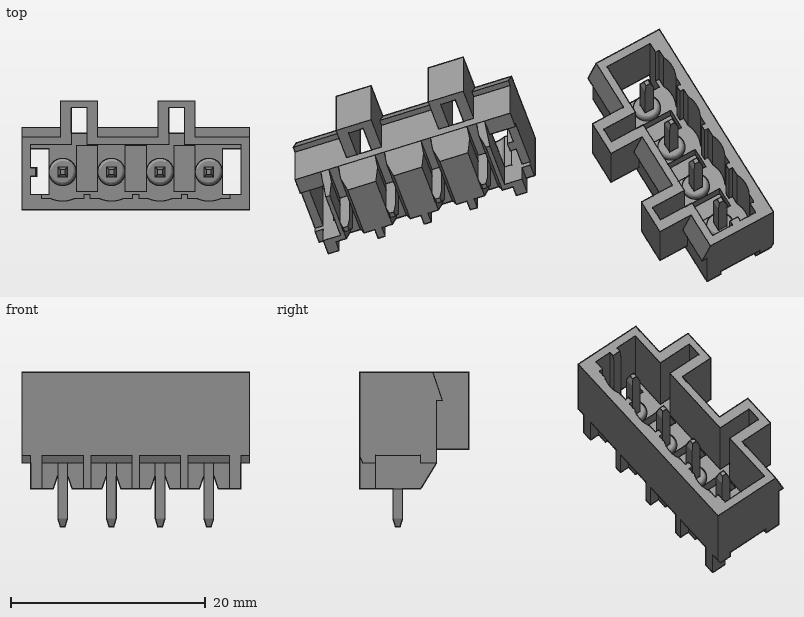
import cadquery as cq
import math

PIN_COUNT = 4
PITCH = 5.0
PIN_WIDTH = 1.0
PIN_Y = 3.9
PIN_TIP_WIDTH = 0.5
PIN_TAPER = 0.85
PIN_TAIL = 3.88
PIN_TOP_GAP = 0.85

LENGTH = 23.4
HEIGHT = 12.0
BODY_DEPTH = 7.9
OVERALL_DEPTH = 11.2
SIDE_WALL = 0.9
REAR_WALL = 1.17
FRONT_WALL = 1.61
FLOOR_TOP = 4.07
SHELL_BOTTOM = 2.67
FRONT_CHAMFER_HEIGHT = 0.75
FRONT_CHAMFER_DEPTH = 0.3

REAR_TAPER_Y = 6.27
BAY_WIDTH = 4.24
BAY_DEPTH = 1.05
SLOT_MOUTH_WIDTH = 1.95
SLOT_FLARE_HEIGHT = 1.35
SIDE_NOTCH_TOP = 3.45

BOSS_DIAMETER = 2.8
BOSS_HEIGHT = 0.47
BOSS_FILLET = 0.4
POCKET_FRONT = 1.9
POCKET_REAR = 6.62
POCKET_BOTTOM = SHELL_BOTTOM

RELIEF_WIDTH = 4.35
RELIEF_WALL = 1.2
RELIEF_RADIUS = 3.0

LATCH_TOP_Y = 7.5
LATCH_TIP_Y = 8.5
LATCH_HEIGHT = 2.92
LOOP_OFFSET = 1.68
LOOP_OUTER = 3.81
LOOP_INNER = 1.6
LOOP_END_WALL = 0.7
LOOP_SPACING = 2

KEY_WIDTH = 0.91
KEY_TOP_LENGTH = 0.5
KEY_ROOT_LENGTH = 0.65
KEY_SLOPE_HEIGHT = 1.0

PIN_XS = [LENGTH / 2 + (i - (PIN_COUNT - 1) / 2) * PITCH for i in range(PIN_COUNT)]
LOOP_XS = [x + LOOP_OFFSET for x in PIN_XS[::LOOP_SPACING]]
CAVITY_REAR = BODY_DEPTH - REAR_WALL
CHAMFER_TOP = SHELL_BOTTOM + FRONT_CHAMFER_HEIGHT
BASE_LEFT = PIN_XS[0] - BOSS_DIAMETER / 2
BASE_RIGHT = PIN_XS[-1] + BOSS_DIAMETER / 2


def box(x0, x1, y0, y1, z0, z1):
    """Box between two opposite corners."""
    return cq.Workplane("XY").box(x1 - x0, y1 - y0, z1 - z0, centered=False).translate((x0, y0, z0))


def centred_box(x, width, y0, y1, z0, z1):
    """Box centred on x."""
    return box(x - width / 2, x + width / 2, y0, y1, z0, z1)


def side_profile(points, x0, x1):
    """Prism along X from (y, z) points."""
    return cq.Workplane("YZ", origin=(x0, 0, 0)).polyline(points).close().extrude(x1 - x0)


def outer_shell():
    """Outer block with its chamfered front lower edge and the latch strip."""
    latch_bottom = HEIGHT - LATCH_HEIGHT
    return side_profile(
        [
            (FRONT_CHAMFER_DEPTH, SHELL_BOTTOM),
            (BODY_DEPTH, SHELL_BOTTOM),
            (BODY_DEPTH, latch_bottom),
            (LATCH_TIP_Y, latch_bottom),
            (LATCH_TOP_Y, HEIGHT),
            (0, HEIGHT),
            (0, CHAMFER_TOP),
        ],
        0,
        LENGTH,
    )


def base():
    """Core under the floor, with the front leg strip before the bays are cut."""
    core = side_profile(
        [
            (0, 0),
            (REAR_TAPER_Y, 0),
            (BODY_DEPTH, SHELL_BOTTOM),
            (BODY_DEPTH, FLOOR_TOP),
            (0, FLOOR_TOP),
        ],
        BASE_LEFT,
        BASE_RIGHT,
    )
    return core.union(box(SIDE_WALL, LENGTH - SIDE_WALL, 0, FRONT_WALL, 0, CHAMFER_TOP))


def loop_block(x):
    """Solid outer block of one keying loop."""
    return centred_box(x, LOOP_OUTER, CAVITY_REAR, OVERALL_DEPTH, FLOOR_TOP, HEIGHT)


def loop_opening(x):
    """Opening inside one loop, joined to the cavity and open at both ends."""
    return centred_box(x, LOOP_INNER, CAVITY_REAR, OVERALL_DEPTH - LOOP_END_WALL, FLOOR_TOP, HEIGHT)


def cavity():
    """Main cavity above the floor."""
    return box(SIDE_WALL, LENGTH - SIDE_WALL, FRONT_WALL, CAVITY_REAR, FLOOR_TOP, HEIGHT)


def end_opening(wall_x, inner_x, base_x):
    """Window through the floor beside the base, with a notch under the side wall."""
    outer_x0, outer_x1 = sorted((wall_x, base_x))
    inner_x0, inner_x1 = sorted((inner_x, base_x))
    notch = box(outer_x0, outer_x1, FRONT_WALL, REAR_TAPER_Y, SHELL_BOTTOM, SIDE_NOTCH_TOP)
    window = box(inner_x0, inner_x1, FRONT_WALL, REAR_TAPER_Y, SHELL_BOTTOM, FLOOR_TOP)
    return notch.union(window)


def floor_pocket(left_pin_x, right_pin_x):
    """Rectangular pocket in the floor between two neighbouring bosses."""
    width = right_pin_x - left_pin_x - BOSS_DIAMETER
    middle = (left_pin_x + right_pin_x) / 2
    return centred_box(middle, width, POCKET_FRONT, POCKET_REAR, POCKET_BOTTOM, FLOOR_TOP)


def bay_cut(x):
    """Front bay under one pin; its ceiling keeps the chamfered shell edge."""
    return side_profile(
        [
            (0, 0),
            (BAY_DEPTH, 0),
            (BAY_DEPTH, SHELL_BOTTOM),
            (FRONT_CHAMFER_DEPTH, SHELL_BOTTOM),
            (0, CHAMFER_TOP),
        ],
        x - BAY_WIDTH / 2,
        x + BAY_WIDTH / 2,
    )


def slot_cut(x):
    """Slot from front to rear around one pin, flared at the underside."""
    mouth = SLOT_MOUTH_WIDTH / 2
    neck = PIN_WIDTH / 2
    return (
        cq.Workplane("XZ")
        .polyline(
            [
                (x - mouth, 0),
                (x + mouth, 0),
                (x + neck, SLOT_FLARE_HEIGHT),
                (x + neck, SHELL_BOTTOM),
                (x - neck, SHELL_BOTTOM),
                (x - neck, SLOT_FLARE_HEIGHT),
            ]
        )
        .close()
        .extrude(-BODY_DEPTH)
    )


def relief_cut(x):
    """Clearance in the front wall: a flat recess with an arc around the pin axis."""
    height = HEIGHT - FLOOR_TOP
    flat = centred_box(x, RELIEF_WIDTH, RELIEF_WALL, FRONT_WALL, FLOOR_TOP, HEIGHT)
    arc = cq.Workplane("XY", origin=(x, PIN_Y, FLOOR_TOP)).circle(RELIEF_RADIUS).extrude(height)
    wall_zone = centred_box(x, RELIEF_WIDTH, 0, FRONT_WALL, FLOOR_TOP, HEIGHT)
    return flat.union(arc.intersect(wall_zone))


def key_tab():
    """Key on the inside of the left wall, with a sloped upper end."""
    root = SIDE_WALL / 2
    return (
        cq.Workplane("XZ", origin=(0, PIN_Y + KEY_WIDTH / 2, 0))
        .polyline(
            [
                (root, SIDE_NOTCH_TOP),
                (SIDE_WALL + KEY_ROOT_LENGTH, SIDE_NOTCH_TOP),
                (SIDE_WALL + KEY_ROOT_LENGTH, HEIGHT - KEY_SLOPE_HEIGHT),
                (SIDE_WALL + KEY_TOP_LENGTH, HEIGHT),
                (root, HEIGHT),
            ]
        )
        .close()
        .extrude(KEY_WIDTH)
    )


def boss(x):
    """Round boss with a rounded rim around one pin."""
    return (
        cq.Workplane("XY", origin=(x, PIN_Y, FLOOR_TOP))
        .circle(BOSS_DIAMETER / 2)
        .extrude(BOSS_HEIGHT)
        .faces(">Z")
        .edges()
        .fillet(BOSS_FILLET)
    )


def pin_tip():
    """Tapered tip standing on z = 0."""
    taper_angle = math.degrees(math.atan((PIN_WIDTH - PIN_TIP_WIDTH) / 2 / PIN_TAPER))
    return cq.Workplane("XY").rect(PIN_WIDTH, PIN_WIDTH).extrude(PIN_TAPER, taper=taper_angle)


def make_pin(x):
    """Square pin with a tapered tip at each end."""
    shank_bottom = PIN_TAPER - PIN_TAIL
    shank_top = HEIGHT - PIN_TOP_GAP - PIN_TAPER
    half = PIN_WIDTH / 2
    shank = box(-half, half, -half, half, shank_bottom, shank_top)
    upper_tip = pin_tip().translate((0, 0, shank_top))
    lower_tip = pin_tip().mirror("XY").translate((0, 0, shank_bottom))
    return shank.union(upper_tip).union(lower_tip).translate((x, PIN_Y, 0))


def make_housing(pins):
    """Open housing with pin floor, base, latch and loops."""
    body = outer_shell()
    for x in LOOP_XS:
        body = body.union(loop_block(x))
    body = body.cut(cavity())
    for x in LOOP_XS:
        body = body.cut(loop_opening(x))
    body = body.cut(end_opening(0, SIDE_WALL, BASE_LEFT))
    body = body.cut(end_opening(LENGTH, LENGTH - SIDE_WALL, BASE_RIGHT))
    body = body.union(base()).union(key_tab())
    for left, right in zip(PIN_XS, PIN_XS[1:]):
        body = body.cut(floor_pocket(left, right))
    for x in PIN_XS:
        body = body.cut(bay_cut(x)).cut(slot_cut(x)).cut(relief_cut(x)).union(boss(x))
    for pin in pins:
        body = body.cut(pin)
    return body


pins = [make_pin(x) for x in PIN_XS]
housing = make_housing(pins)
result = cq.Compound.makeCompound([housing.val(), *[pin.val() for pin in pins]])